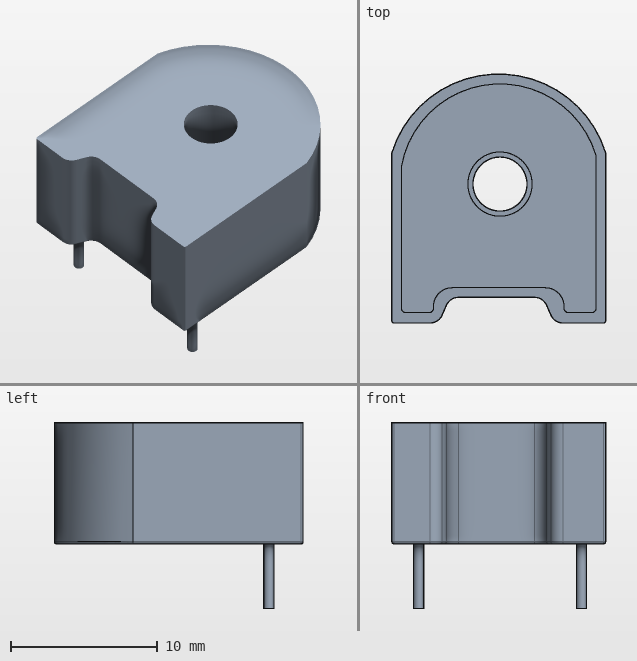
import cadquery as cq

width = 14.58
depth = 16.97
height = 8.26
side_length = 11.59
corner_radius = 0.15
bottom_radius = 0.17
wall = 0.66
floor_thickness = wall

notch_x = -0.15
notch_depth = 1.75
notch_mouth_half = 3.94
notch_floor_half = 3.17
notch_radius = 0.9

axis_x = 0.08
axis_y = 9.47
tube_outer_diameter = 4.38
tube_bore_diameter = 3.67

pocket_half_width = width / 2 - wall
pocket_front = 0.71
pocket_back_radius = 6.82
pocket_notch_y = notch_depth + wall
pocket_notch_half = 4.45
pocket_notch_radius = 1.27
pocket_corner_radius = 0.3

pin_diameter = 0.71
pin_spacing = 11.1
pin_y = 2.35
pin_length = 4.4


def make_housing_block():
    """Solid outer shape, with its notch and rounded edges."""
    half = width / 2
    block = (
        cq.Workplane("XY")
        .moveTo(-half, 0)
        .lineTo(notch_x - notch_mouth_half, 0)
        .lineTo(notch_x - notch_floor_half, notch_depth)
        .lineTo(notch_x + notch_floor_half, notch_depth)
        .lineTo(notch_x + notch_mouth_half, 0)
        .lineTo(half, 0)
        .lineTo(half, side_length)
        .threePointArc((0, depth), (-half, side_length))
        .close()
        .extrude(height)
    )
    vertical_edges = block.edges("|Z")
    front_corners = vertical_edges.filter(
        lambda edge: abs(edge.Center().x) > half - corner_radius and edge.Center().y < corner_radius
    )
    block = front_corners.fillet(corner_radius)
    notch_corners = block.edges("|Z").filter(
        lambda edge: abs(edge.Center().x - notch_x) < notch_mouth_half + corner_radius
        and edge.Center().y < notch_depth + corner_radius
    )
    block = notch_corners.fillet(notch_radius)
    return block.faces("<Z").edges().fillet(bottom_radius)


def make_potting_block():
    """Potting that fills the pocket from the floor to the rim, around the tube."""
    filling_height = height - floor_thickness
    floor_plane = cq.Workplane("XY").workplane(offset=floor_thickness)
    block = (
        floor_plane
        .moveTo(-pocket_half_width, pocket_front)
        .lineTo(-pocket_notch_half, pocket_front)
        .lineTo(-pocket_notch_half, pocket_notch_y)
        .lineTo(pocket_notch_half, pocket_notch_y)
        .lineTo(pocket_notch_half, pocket_front)
        .lineTo(pocket_half_width, pocket_front)
        .lineTo(pocket_half_width, depth)
        .lineTo(-pocket_half_width, depth)
        .close()
        .extrude(filling_height)
    )
    inner_corners = block.edges("|Z").filter(lambda edge: abs(edge.Center().y - pocket_notch_y) < wall)
    block = inner_corners.fillet(pocket_notch_radius)
    front_corners = block.edges("|Z").filter(lambda edge: edge.Center().y < pocket_front + corner_radius)
    block = front_corners.fillet(pocket_corner_radius)

    round_back = floor_plane.center(axis_x, axis_y).circle(pocket_back_radius).extrude(filling_height)
    straight_front = floor_plane.rect(width, 2 * axis_y).extrude(filling_height)
    block = block.intersect(round_back.union(straight_front))

    tube = floor_plane.center(axis_x, axis_y).circle(tube_outer_diameter / 2).extrude(filling_height)
    return block.cut(tube)


def make_pins():
    """Both pins, from the potting down through the housing floor."""
    pins = cq.Workplane("XY")
    for side in (-1, 1):
        pin = (
            cq.Workplane("XY")
            .workplane(offset=-pin_length)
            .center(axis_x + side * pin_spacing / 2, pin_y)
            .circle(pin_diameter / 2)
            .extrude(pin_length + floor_thickness)
        )
        pins = pins.add(pin)
    return pins


def make_potting():
    """The potting and the pins set in it, as one body."""
    potting = make_potting_block()
    for pin in make_pins().vals():
        potting = potting.union(cq.Workplane(pin))
    return potting


def make_housing(potting):
    """Housing with its tube bore, and a pocket and pin holes matching the potting."""
    bore = cq.Workplane("XY").center(axis_x, axis_y).circle(tube_bore_diameter / 2).extrude(height)
    return make_housing_block().cut(bore).cut(potting)


potting = make_potting()
housing = make_housing(potting)

result = cq.Compound.makeCompound([housing.solids().val(), potting.solids().val()])